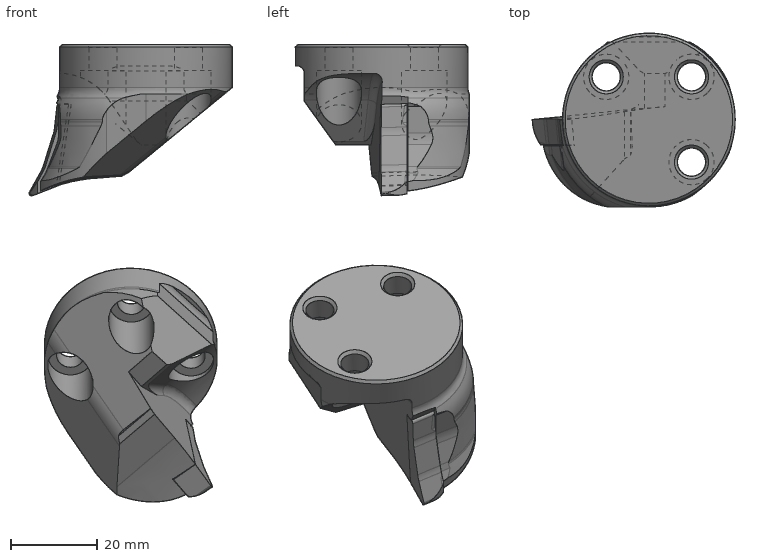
import cadquery as cq
import math


disc_diameter = 40.0
disc_height = 9.95
disc_chamfer = 0.6
disc_radius = disc_diameter / 2
total_length = 47.0
total_width = 40.3
total_height = 35.0
reach = total_length - disc_radius

hole_diameter = 6.5
hole_mouth_chamfer = 0.7
bore_diameter = 10.5
bore_seat_z = -6.0
hole_offset = 9.85
hole_centres = [(-hole_offset, hole_offset), (hole_offset, hole_offset), (hole_offset, -hole_offset)]

neck_radius = total_width - disc_radius
flat_end_x = -9.1
flank_middle = (-20.1, -14.55)
flank_end = (-24.45, -6.0)

flare_start_z = -11.4
flare_bend = (20.95, -12.4)
flare_shoulder = (22.15, -15.05)
flare_cone = [
    (22.5, -17.4),
    (22.5, -18.0),
    (22.6, -18.9),
    (23.88, -28.35),
    (24.0, -28.75),
    (26.8, -total_height),
]

bottom_heel = [(-4.25, -29.7), (-5.65, -30.45), (-13.05, -31.05)]
bottom_arc_middle = (-20.8, -32.75)
bottom_end_z = -35.35

ramp_slope = 0.82
tilt_slope = 0.7
ridge_y = -8.0
ridge_fillet = 7.05
rear_cut_y = 17.95
rear_step_z = -5.05
rear_step_width = 1.18
rear_step_radius = 1.9
rear_bevel_top = (rear_cut_y, -13.05)
rear_bevel_bottom_y = 10.6
bottom_clearance = 0.03

rake_slope = 0.11
rake_tilt = 0.035
gullet_top_z = -6.67
gullet_radius = 14.1
gullet_start_x = -20.2
gullet_angle = math.radians(56)
gullet_floor_z = -23.25
gullet_edge_bevel = (1.05, 0.85)
gullet_fillet = 1.97

insert_width = 5.88
pocket_gap = 0.2
ledge_top = [(-20.35, -13.45), (-19.95, -14.35), (-19.85, -20.55)]
ledge_bend = (-19.98, -21.9)
ledge_lower = [(-20.3, -23.12), (-22.25, -28.2), (-22.85, -29.7), (-26.8, -36.2)]
ledge_y = -9.4
pocket_roof_z = -11.85
pocket_roof_end = (-20.7, pocket_roof_z)
pocket_roof_foot_x = -19.9
insert_top_z = -13.85
insert_back_top = (-17.85, insert_top_z)
insert_back_bottom = (-20.7, -32.8)
insert_crest_x = -19.98
insert_crest_middle = (-20.45, -14.05)
insert_flank_upper = [(-20.65, -14.48), (-21.15, -19.25)]
insert_upper_bend = (-21.3, -20.25)
insert_flank_middle = [(-21.55, -21.15), (-23.7, -27.95)]
insert_lower_bend = (-23.95, -28.75)
insert_flank_lower = [(-24.35, -29.5), (-26.95, -34.1)]
insert_nose_middle = (-26.95, -34.8)
insert_nose_x = -26.3
tip_outline_middle = (-26.5, -2.95)
tip_outline_end = (-24.85, -6.1)
insert_radius_limit = [
    (20.77, -14.1),
    (21.1, -18.1),
    (21.7, -20.2),
    (24.3, -28.95),
    (25.15, -30.7),
    (reach, -34.1),
]
flank_shear = 0.1

far = 56.4


def extrude_xz(profile, start_y, vector):
    """Sweep a closed XZ wire, drawn on the plane Y = start_y, along a vector."""
    wire = profile.val().translate(cq.Vector(0, start_y, 0))
    face = cq.Face.makeFromWires(wire)
    return cq.Workplane(obj=cq.Solid.extrudeLinear(face, cq.Vector(*vector)))


def extrude_along_flank(profile, depth):
    """Sweep an XZ wire, given at Y = 0, along the insert flank from beyond the rake face to Y = -depth."""
    start_y = insert_width / 2
    length = start_y + depth
    sweep = extrude_xz(profile, start_y, (flank_shear * length, -length, bottom_clearance * length))
    return sweep.translate((-flank_shear * start_y, 0, -bottom_clearance * start_y))


def rake_y(x, z):
    """Y of the rake face at a given X and Z; zero at the cutting tip."""
    return rake_slope * (x + reach) - rake_tilt * (z + total_height)


def behind_rake():
    """Space on the +Y side of the rake face."""
    near_y = rake_y(-far, -far)
    far_y = rake_y(far, -far)
    back_y = 2 * far
    corners = [(-far, near_y), (far, far_y), (far, back_y), (-far, back_y)]
    base = cq.Wire.makePolygon([cq.Vector(x, y, -far) for x, y in corners], close=True)
    rise = cq.Vector(0, -2 * far * rake_tilt, 2 * far)
    return cq.Workplane(obj=cq.Solid.extrudeLinear(cq.Face.makeFromWires(base), rise))


def make_disc():
    disc = cq.Workplane("XY").circle(disc_radius).extrude(-disc_height)
    return disc.faces(">Z").edges().chamfer(disc_chamfer)


def make_neck_outline():
    """Vertical prism: neck circle, tangent flat and curved flank out to the tip side."""
    circle = cq.Workplane("XY").workplane(offset=-disc_height).circle(neck_radius).extrude(-far)
    flank = (
        cq.Workplane("XY")
        .workplane(offset=-disc_height)
        .moveTo(0, -neck_radius)
        .lineTo(flat_end_x, -neck_radius)
        .threePointArc(flank_middle, flank_end)
        .lineTo(-reach, 0)
        .lineTo(-reach, hole_offset)
        .lineTo(0, hole_offset)
        .close()
        .extrude(-far)
    )
    return circle.union(flank)


def make_flare():
    """Body of revolution that widens from the disc towards the tip."""
    return (
        cq.Workplane("XZ")
        .moveTo(0, -disc_height)
        .lineTo(disc_radius, -disc_height)
        .threePointArc((neck_radius, flare_start_z), flare_bend)
        .threePointArc(flare_shoulder, flare_cone[0])
        .polyline(flare_cone, includeCurrent=False)
        .lineTo(0, flare_cone[-1][1])
        .close()
        .revolve(360, (0, 0, 0), (0, 1, 0))
    )


def make_underside():
    """Material kept above both ramps."""
    ridge_start_z = -disc_height - ramp_slope * (disc_radius + far)
    wall_z = ridge_start_z + tilt_slope * (ridge_y + far)
    section = [(-far, far), (-far, wall_z), (ridge_y, ridge_start_z), (far, ridge_start_z), (far, far)]
    face = cq.Face.makeFromWires(cq.Wire.makePolygon([cq.Vector(-far, y, z) for y, z in section], close=True))
    block = cq.Solid.extrudeLinear(face, cq.Vector(2 * far, 0, 2 * far * ramp_slope))
    ridge = cq.selectors.NearestToPointSelector((0, ridge_y, ridge_start_z + ramp_slope * far))
    return cq.Workplane(obj=block).edges(ridge).fillet(ridge_fillet)


def make_bottom():
    """Material kept above the curved bottom, which rises slightly towards -Y."""
    profile = (
        cq.Workplane("XZ")
        .moveTo(far, bottom_heel[0][1])
        .polyline(bottom_heel, includeCurrent=True)
        .threePointArc(bottom_arc_middle, (-reach, bottom_end_z))
        .lineTo(-far, bottom_end_z)
        .lineTo(-far, 0)
        .lineTo(far, 0)
        .close()
    )
    return extrude_xz(profile, far / 2, (0, -far, bottom_clearance * far)).translate(
        (0, 0, -bottom_clearance * far / 2)
    )


def make_gullet():
    """Chip space in front of the rake face: arched roof, sloping wall and level floor."""
    arch_centre_z = gullet_top_z - gullet_radius
    half = gullet_angle / 2
    arch_middle = (
        gullet_start_x + gullet_radius * math.sin(half),
        arch_centre_z + gullet_radius * math.cos(half),
    )
    arch_end = (
        gullet_start_x + gullet_radius * math.sin(gullet_angle),
        arch_centre_z + gullet_radius * math.cos(gullet_angle),
    )
    bevel_x, bevel_z = gullet_edge_bevel
    wall_foot_z = gullet_floor_z + bevel_z
    wall_foot_x = arch_end[0] + (arch_end[1] - wall_foot_z) / math.tan(gullet_angle)
    profile = (
        cq.Workplane("XZ")
        .moveTo(-far, gullet_top_z)
        .lineTo(gullet_start_x, gullet_top_z)
        .threePointArc(arch_middle, arch_end)
        .lineTo(wall_foot_x, wall_foot_z)
        .lineTo(wall_foot_x + bevel_x, gullet_floor_z)
        .lineTo(far, gullet_floor_z)
        .lineTo(far, -far)
        .lineTo(-far, -far)
        .close()
    )
    cutter = extrude_xz(profile, -far / 2, (0, 2 * far, 0)).intersect(behind_rake())
    wall_middle = ((arch_end[0] + wall_foot_x) / 2, (arch_end[1] + wall_foot_z) / 2)
    roof_points = [(-far / 2, gullet_top_z), arch_middle, wall_middle]
    roof = [(x, rake_y(x, z), z) for x, z in roof_points]
    selector = cq.selectors.NearestToPointSelector(roof[0])
    for point in roof[1:]:
        selector = selector + cq.selectors.NearestToPointSelector(point)
    return cutter.edges(selector).fillet(gullet_fillet)


def make_rear_cut():
    """Step and bevel along the +Y side."""
    return (
        cq.Workplane("YZ")
        .workplane(offset=-far)
        .moveTo(far, rear_step_z)
        .lineTo(rear_cut_y + rear_step_width, rear_step_z)
        .radiusArc((rear_cut_y, rear_step_z - rear_step_width), -rear_step_radius)
        .lineTo(*rear_bevel_top)
        .lineTo(rear_bevel_bottom_y, gullet_floor_z)
        .lineTo(rear_bevel_bottom_y, -far)
        .lineTo(far, -far)
        .close()
        .extrude(2 * far)
    )


def make_ledge_cut():
    """Relief beside and below the insert flank."""
    profile = (
        cq.Workplane("XZ")
        .moveTo(-far, ledge_top[0][1])
        .polyline(ledge_top, includeCurrent=True)
        .threePointArc(ledge_bend, ledge_lower[0])
        .polyline(ledge_lower, includeCurrent=False)
        .lineTo(-far, ledge_lower[-1][1])
        .close()
    )
    relief = extrude_xz(profile, 0, (flank_shear * far, -far, 0))
    return relief.translate((flank_shear * ledge_y, 0, 0))


def make_pocket():
    """Seat that the insert fills, with a narrow gap at its -Y side."""
    profile = (
        cq.Workplane("XZ")
        .moveTo(-far, pocket_roof_z)
        .lineTo(*pocket_roof_end)
        .lineTo(pocket_roof_foot_x, insert_top_z)
        .lineTo(*insert_back_top)
        .lineTo(*insert_back_bottom)
        .lineTo(insert_back_bottom[0], -far)
        .lineTo(-far, -far)
        .close()
    )
    return extrude_along_flank(profile, insert_width + pocket_gap)


def make_holes():
    """Screw holes with chamfered mouths and head bores from below."""
    chamfer_tool = cq.Solid.makeCone(
        hole_diameter / 2, hole_diameter / 2 + hole_mouth_chamfer, hole_mouth_chamfer
    ).translate(cq.Vector(0, 0, -hole_mouth_chamfer))
    tools = cq.Workplane("XY").pushPoints(hole_centres).circle(hole_diameter / 2).extrude(-far)
    bores = cq.Workplane("XY").workplane(offset=bore_seat_z)
    tools = tools.union(bores.pushPoints(hole_centres).circle(bore_diameter / 2).extrude(-far))
    for x, y in hole_centres:
        tools = tools.union(cq.Workplane(obj=chamfer_tool.translate(cq.Vector(x, y, 0))))
    return tools


def make_holder():
    shank = make_neck_outline().intersect(make_flare())
    shank = shank.intersect(make_bottom())
    shank = shank.intersect(make_underside())
    shank = shank.cut(make_ledge_cut())
    holder = make_disc().union(shank)
    holder = holder.cut(make_gullet())
    holder = holder.cut(make_rear_cut())
    holder = holder.cut(make_pocket())
    return holder.cut(make_holes())


def make_insert_limit():
    """Body of revolution that trims the trailing corners of the insert flank."""
    return (
        cq.Workplane("XZ")
        .moveTo(0, 0)
        .lineTo(insert_radius_limit[0][0], 0)
        .polyline(insert_radius_limit, includeCurrent=True)
        .lineTo(reach, -far)
        .lineTo(0, -far)
        .close()
        .revolve(360, (0, 0, 0), (0, 1, 0))
    )


def make_tip_outline():
    """Vertical prism with the curved clearance outline of the cutting tip."""
    return (
        cq.Workplane("XY")
        .moveTo(0, insert_width)
        .lineTo(-reach, insert_width)
        .lineTo(-reach, 0)
        .threePointArc(tip_outline_middle, tip_outline_end)
        .lineTo(0, tip_outline_end[1])
        .close()
        .extrude(-far)
    )


def make_insert():
    profile = (
        cq.Workplane("XZ")
        .moveTo(*insert_back_top)
        .lineTo(insert_crest_x, insert_top_z)
        .threePointArc(insert_crest_middle, insert_flank_upper[0])
        .lineTo(*insert_flank_upper[1])
        .threePointArc(insert_upper_bend, insert_flank_middle[0])
        .lineTo(*insert_flank_middle[1])
        .threePointArc(insert_lower_bend, insert_flank_lower[0])
        .lineTo(*insert_flank_lower[1])
        .threePointArc(insert_nose_middle, (insert_nose_x, -total_height))
        .lineTo(*insert_back_bottom)
        .close()
    )
    blade = extrude_along_flank(profile, insert_width).cut(behind_rake())
    return blade.intersect(make_insert_limit()).intersect(make_tip_outline())


holder = make_holder()
insert = make_insert()
result = cq.Compound.makeCompound([holder.solids().val(), insert.solids().val()])